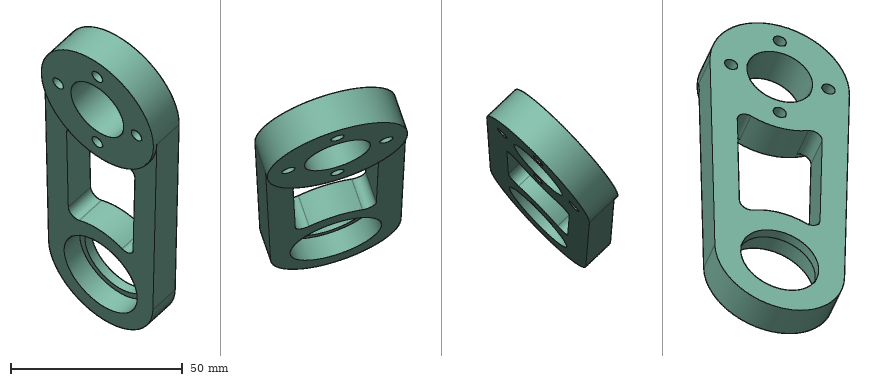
import cadquery as cq
import math


overall_height = 118.62
plate_thickness = 10.0
flange_height = 1.5

upper_radius = 43.0 / 2
lower_radius = 40.0 / 2
center_distance = overall_height - upper_radius - lower_radius

upper_bore_diameter = 20.2
bolt_hole_diameter = 4.0
bolt_circle_radius = 15.0
bolt_count = 4

lower_bore_diameter = 24.0
bearing_seat_diameter = 28.0
bearing_seat_depth = 7.0

rail_width = 8.0
window_fillet = 3.0

total_thickness = plate_thickness + flange_height
cut_margin = 1.0

side_angle = math.asin((upper_radius - lower_radius) / center_distance)


def tangent_point(center_z, radius):
    """Point on the +X side where a tangent side meets a circle on the Z axis."""
    return radius * math.cos(side_angle), center_z - radius * math.sin(side_angle)


def cylinder(center_z, diameter, front, length):
    """Cylinder along Y on the X = 0 plane, from Y = front to Y = front + length."""
    profile = cq.Workplane("XZ", origin=(0, front, center_z)).circle(diameter / 2)
    return profile.extrude(-length)


def tapered_plate():
    """Plate between Y = 0 and Y = plate_thickness, rounded at both ends."""
    upper_x, upper_z = tangent_point(center_distance, upper_radius)
    lower_x, lower_z = tangent_point(0, lower_radius)
    outline = (
        cq.Workplane("XZ")
        .moveTo(lower_x, lower_z)
        .lineTo(upper_x, upper_z)
        .threePointArc((0, center_distance + upper_radius), (-upper_x, upper_z))
        .lineTo(-lower_x, lower_z)
        .threePointArc((0, -lower_radius), (lower_x, lower_z))
        .close()
    )
    return outline.extrude(-plate_thickness)


def window():
    """Opening between the rails, bounded by arcs around both end centers."""
    upper_x, upper_z = tangent_point(center_distance, upper_radius - rail_width)
    lower_x, lower_z = tangent_point(0, lower_radius - rail_width)
    tapered = (
        cq.Workplane("XZ")
        .polyline([(lower_x, lower_z), (upper_x, upper_z), (-upper_x, upper_z), (-lower_x, lower_z)])
        .close()
        .extrude(-plate_thickness)
    )
    upper_ring = cylinder(center_distance, 2 * upper_radius, 0, plate_thickness)
    lower_ring = cylinder(0, 2 * lower_radius, 0, plate_thickness)
    return tapered.cut(upper_ring).cut(lower_ring).edges("|Y").fillet(window_fillet)


def bolt_holes():
    """Ring of through holes around the upper bore."""
    holes = cq.Workplane("XZ", origin=(0, -flange_height - cut_margin, center_distance))
    holes = holes.polarArray(bolt_circle_radius, 0, 360, bolt_count).circle(bolt_hole_diameter / 2)
    return holes.extrude(-(total_thickness + 2 * cut_margin))


def upper_bore():
    front = -flange_height - cut_margin
    return cylinder(center_distance, upper_bore_diameter, front, total_thickness + 2 * cut_margin)


def bearing_bore():
    """Through bore with a wider seat sunk from the -Y face."""
    bore = cylinder(0, lower_bore_diameter, -cut_margin, plate_thickness + 2 * cut_margin)
    seat = cylinder(0, bearing_seat_diameter, -cut_margin, bearing_seat_depth + cut_margin)
    return bore.union(seat)


flange = cylinder(center_distance, 2 * upper_radius, -flange_height, total_thickness)

result = (
    tapered_plate()
    .union(flange)
    .cut(window())
    .cut(upper_bore())
    .cut(bolt_holes())
    .cut(bearing_bore())
)